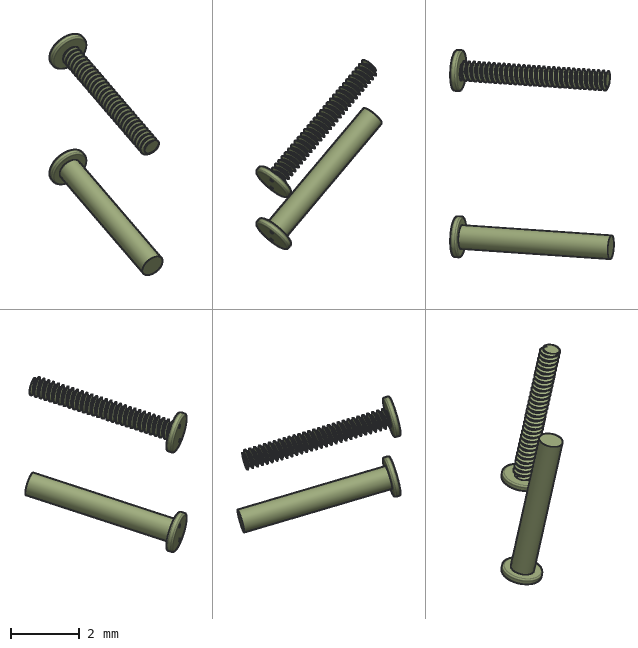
import cadquery as cq
import math

overall_height = 6.2

head_diameter = 1.2
head_thickness = 0.2
head_fillet = 0.05
pin_hole_diameter = 0.1
pin_hole_spacing = 0.7
pin_hole_depth = 0.1

barrel_diameter = 0.7
barrel_length = 4.5

shank_length = 4.4
thread_crest_diameter = 0.59
thread_root_diameter = 0.4
thread_pitch = barrel_length / 30
thread_crest_width = thread_pitch / 8
thread_root_width = thread_pitch / 4
thread_start = 0.07

ridge_overlap = 0.01

axis_spacing = overall_height - head_diameter


def along_x(diameter, start, length):
    """Cylinder on the X axis, from X = start."""
    return cq.Workplane("YZ", origin=(start, 0, 0)).circle(diameter / 2).extrude(length)


def make_head():
    """Round-edged disc with two blind pin holes in its outer face at X = 0."""
    disc = along_x(head_diameter, 0, head_thickness).edges().fillet(head_fillet)
    pin_holes = (
        cq.Workplane("YZ")
        .pushPoints([(0, -pin_hole_spacing / 2), (0, pin_hole_spacing / 2)])
        .circle(pin_hole_diameter / 2)
        .extrude(pin_hole_depth)
    )
    return disc.cut(pin_holes)


def make_thread_ridge():
    """Helical ridge that starts inside the head and runs past the end of the shank."""
    crest_radius = thread_crest_diameter / 2
    root_radius = thread_root_diameter / 2
    half_crest = thread_crest_width / 2
    half_foot = (thread_pitch - thread_root_width) / 2
    base_radius = root_radius - ridge_overlap

    flank_slope = (half_foot - half_crest) / (crest_radius - root_radius)
    half_base = half_foot + ridge_overlap * flank_slope

    start = thread_start - thread_pitch
    turns = math.ceil((shank_length - start) / thread_pitch) + 1

    helix = cq.Wire.makeHelix(thread_pitch, turns * thread_pitch, base_radius)
    profile = cq.Workplane("XZ").polyline(
        [
            (base_radius, -half_base),
            (crest_radius, -half_crest),
            (crest_radius, half_crest),
            (base_radius, half_base),
        ]
    ).close()
    ridge = profile.sweep(cq.Workplane(helix), isFrenet=True)
    ridge = ridge.rotate((0, 0, 0), (0, 0, 1), 180)
    ridge = ridge.rotate((0, 0, 0), (0, 1, 0), 90)
    return ridge.translate((head_thickness + start, 0, 0))


def make_screw():
    """Head with a threaded shank, cut off square at the end."""
    shank_end = head_thickness + shank_length
    core = along_x(thread_root_diameter, head_thickness, shank_length)
    end_trim = along_x(head_diameter, shank_end, shank_length)
    ridge = make_thread_ridge().cut(end_trim)
    return make_head().union(core).union(ridge)


def make_post():
    """Head with a plain barrel."""
    return make_head().union(along_x(barrel_diameter, head_thickness, barrel_length))


post = make_post()
screw = make_screw().translate((0, 0, axis_spacing))

result = cq.Compound.makeCompound([*post.solids().vals(), *screw.solids().vals()])